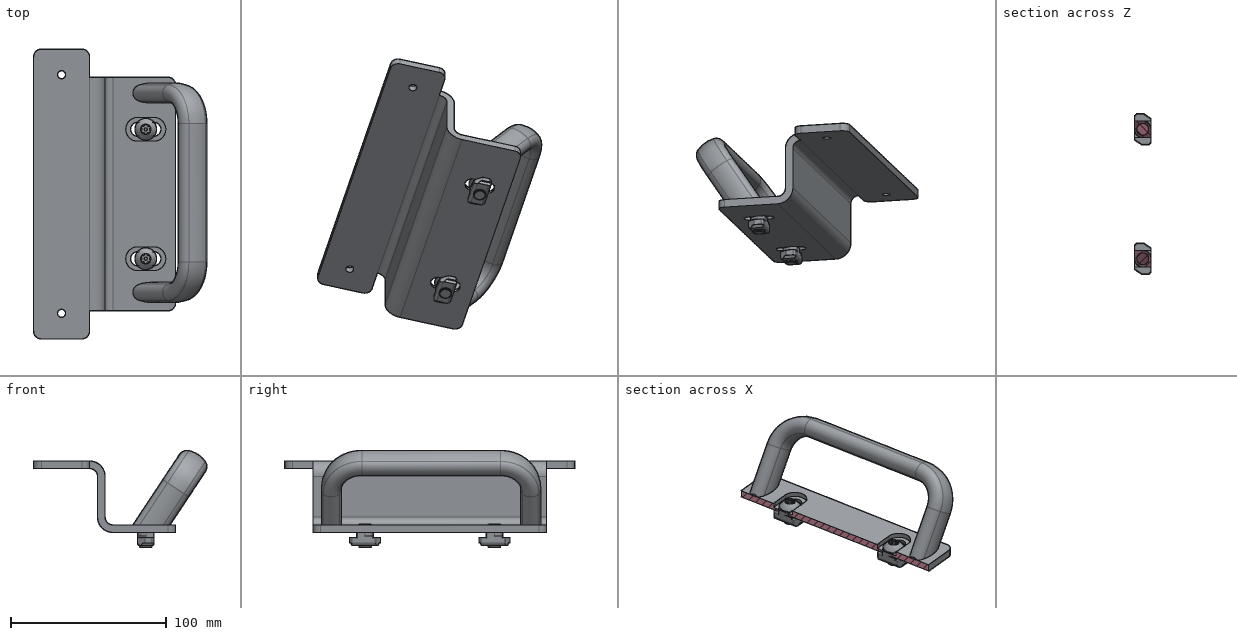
import cadquery as cq
import math

THICKNESS = 5.0
INNER_BEND = 5.0
OUTER_BEND = INNER_BEND + THICKNESS
BRACKET_HEIGHT = 46.0
TOP_FLANGE_DEPTH = 36.0
TOP_FLANGE_WIDTH = 186.0
WEB_WIDTH = 150.0
BRACKET_DEPTH = 91.15
CORNER_RADIUS = 5.0
WEB_BACK = TOP_FLANGE_DEPTH + INNER_BEND
WEB_FRONT = WEB_BACK + THICKNESS
BOTTOM_FLANGE_START = WEB_BACK + OUTER_BEND

MOUNT_HOLE_DIAMETER = 5.0
MOUNT_HOLE_X = TOP_FLANGE_DEPTH / 2
MOUNT_HOLE_SPACING = 153.0

SLOT_X = 72.0
SLOT_SPACING = 83.0
SLOT_TRAVEL = 10.5
SLOT_WIDTH = 8.8
COUNTERBORE_WIDTH = 15.2
COUNTERBORE_DEPTH = 3.0
SEAT_Z = THICKNESS - COUNTERBORE_DEPTH

HANDLE_TILT = 56.5
HANDLE_FOOT_X = 75.7
HANDLE_LENGTH = 47.63
HANDLE_SPAN = 127.8
HANDLE_CENTER_Y = 0.85
HANDLE_BEND = 19.5
ROD_WIDTH = 20.0
ROD_THICKNESS = 13.0
ROD_EDGE_RADIUS = 5.7

SCREW_DIAMETER = 8.0
SCREW_END_Z = -9.7
SCREW_END_CHAMFER = 0.5
HEAD_DIAMETER = 14.0
HEAD_HEIGHT = 3.6
HEAD_TOP_DIAMETER = 6.7
HEAD_BULGE = 0.4
SOCKET_CORE_DIAMETER = 4.92
SOCKET_TIP_DIAMETER = 6.4
SOCKET_LOBE_DIAMETER = 1.7
SOCKET_LOBES = 6
SOCKET_LOBE_START = 30.0
SOCKET_DEPTH = 2.4
SOCKET_PIN_DIAMETER = 2.0

NUT_WIDTH = 10.8
NUT_LENGTH = 20.0
NECK_FULL_Z = -2.2
LUG_TOP_Z = -3.0
SCREW_PROTRUSION = 1.3
NUT_BOTTOM_Z = SCREW_END_Z + SCREW_PROTRUSION
LUG_CUT_X = 4.7
LUG_CUT_Y = 3.2
LUG_SMALL_CUT = 1.4
LUG_BOTTOM_RADIUS = 1.8
END_STEP = 0.8
END_STEP_HEIGHT = 1.8
END_SLOPE = 0.9
EDGE_RADIUS = 0.5

EXTRA = 1.0


def make_bracket():
    top_inside = BRACKET_HEIGHT - THICKNESS
    upper_bend_z = BRACKET_HEIGHT - OUTER_BEND
    diagonal = math.sqrt(0.5)
    inner_mid = INNER_BEND * diagonal
    outer_mid = OUTER_BEND * diagonal
    bent_sheet = (
        cq.Workplane("XZ")
        .moveTo(TOP_FLANGE_DEPTH, BRACKET_HEIGHT)
        .threePointArc(
            (TOP_FLANGE_DEPTH + outer_mid, upper_bend_z + outer_mid),
            (WEB_FRONT, upper_bend_z),
        )
        .lineTo(WEB_FRONT, OUTER_BEND)
        .threePointArc(
            (BOTTOM_FLANGE_START - inner_mid, OUTER_BEND - inner_mid),
            (BOTTOM_FLANGE_START, THICKNESS),
        )
        .lineTo(BRACKET_DEPTH, THICKNESS)
        .lineTo(BRACKET_DEPTH, 0)
        .lineTo(BOTTOM_FLANGE_START, 0)
        .threePointArc(
            (BOTTOM_FLANGE_START - outer_mid, OUTER_BEND - outer_mid),
            (WEB_BACK, OUTER_BEND),
        )
        .lineTo(WEB_BACK, upper_bend_z)
        .threePointArc(
            (TOP_FLANGE_DEPTH + inner_mid, upper_bend_z + inner_mid),
            (TOP_FLANGE_DEPTH, top_inside),
        )
        .close()
        .extrude(WEB_WIDTH / 2, both=True)
        .edges("|Z and >X")
        .fillet(CORNER_RADIUS)
    )
    top_flange = (
        cq.Workplane("XY", origin=(TOP_FLANGE_DEPTH / 2, 0, top_inside))
        .rect(TOP_FLANGE_DEPTH, TOP_FLANGE_WIDTH)
        .extrude(THICKNESS)
        .edges("|Z")
        .fillet(CORNER_RADIUS)
    )
    mount_holes = (
        cq.Workplane("XY", origin=(MOUNT_HOLE_X, 0, top_inside - EXTRA))
        .rarray(1, MOUNT_HOLE_SPACING, 1, 2)
        .circle(MOUNT_HOLE_DIAMETER / 2)
        .extrude(THICKNESS + 2 * EXTRA)
    )
    bracket = top_flange.union(bent_sheet).cut(mount_holes)
    for start_z, width in ((-EXTRA, SLOT_WIDTH), (SEAT_Z, COUNTERBORE_WIDTH)):
        slots = (
            cq.Workplane("XY", origin=(SLOT_X, 0, start_z))
            .rarray(1, SLOT_SPACING, 1, 2)
            .slot2D(SLOT_TRAVEL + width, width)
            .extrude(THICKNESS + 2 * EXTRA)
        )
        bracket = bracket.cut(slots)
    return bracket


def rod_section(plane):
    """Four-arc oval: tight arcs at both edges, tangent to flatter arcs on both faces."""
    half_width = ROD_WIDTH / 2
    half_thickness = ROD_THICKNESS / 2
    edge_center = half_width - ROD_EDGE_RADIUS
    face_radius = (edge_center**2 + half_thickness**2 - ROD_EDGE_RADIUS**2) / (
        2 * (half_thickness - ROD_EDGE_RADIUS)
    )
    face_center = face_radius - half_thickness
    stretch = face_radius / (face_radius - ROD_EDGE_RADIUS)
    join_x = edge_center * stretch
    join_y = face_center * stretch - face_center
    return (
        cq.Workplane(plane)
        .moveTo(-join_x, join_y)
        .threePointArc((0, half_thickness), (join_x, join_y))
        .threePointArc((half_width, 0), (join_x, -join_y))
        .threePointArc((0, -half_thickness), (-join_x, -join_y))
        .threePointArc((-half_width, 0), (-join_x, join_y))
        .close()
    )


def make_handle():
    tilt = math.radians(HANDLE_TILT)
    along_leg = cq.Vector(math.cos(tilt), 0, math.sin(tilt))
    across_leg = cq.Vector(math.sin(tilt), 0, -math.cos(tilt))
    foot = cq.Vector(HANDLE_FOOT_X, HANDLE_CENTER_Y, THICKNESS)

    handle_plane = cq.Plane(origin=foot, xDir=along_leg, normal=across_leg * -1)
    leg_start = -ROD_WIDTH
    half_span = HANDLE_SPAN / 2
    bend_start = HANDLE_LENGTH - HANDLE_BEND
    bend_end = half_span - HANDLE_BEND
    bend_mid = HANDLE_BEND * math.sqrt(0.5)
    path = (
        cq.Workplane(handle_plane)
        .moveTo(leg_start, -half_span)
        .lineTo(bend_start, -half_span)
        .threePointArc((bend_start + bend_mid, -bend_end - bend_mid), (HANDLE_LENGTH, -bend_end))
        .lineTo(HANDLE_LENGTH, bend_end)
        .threePointArc((bend_start + bend_mid, bend_end + bend_mid), (bend_start, half_span))
        .lineTo(leg_start, half_span)
    )
    section_origin = foot + along_leg * leg_start - cq.Vector(0, half_span, 0)
    section_plane = cq.Plane(origin=section_origin, xDir=across_leg, normal=along_leg)
    rod = rod_section(section_plane).sweep(path)
    below_flange = (
        cq.Workplane("XY", origin=foot)
        .rect(4 * ROD_WIDTH, HANDLE_SPAN + 2 * ROD_WIDTH)
        .extrude(-2 * ROD_WIDTH)
    )
    return rod.cut(below_flange)


def screw_shank(y, end_z):
    return (
        cq.Workplane("XY", origin=(SLOT_X, y, end_z))
        .circle(SCREW_DIAMETER / 2)
        .extrude(SEAT_Z - end_z)
    )


def make_screw(y):
    head_radius = HEAD_DIAMETER / 2
    top_radius = HEAD_TOP_DIAMETER / 2
    flank_run = head_radius - top_radius
    flank_length = math.hypot(flank_run, HEAD_HEIGHT)
    dome_mid_r = (head_radius + top_radius) / 2 + HEAD_BULGE * HEAD_HEIGHT / flank_length
    dome_mid_z = HEAD_HEIGHT / 2 + HEAD_BULGE * flank_run / flank_length
    head = (
        cq.Workplane("XZ", origin=(SLOT_X, y, SEAT_Z))
        .lineTo(head_radius, 0)
        .threePointArc((dome_mid_r, dome_mid_z), (top_radius, HEAD_HEIGHT))
        .lineTo(0, HEAD_HEIGHT)
        .close()
        .revolve(360, (0, 0), (0, 1))
    )
    shank = screw_shank(y, SCREW_END_Z).faces("<Z").chamfer(SCREW_END_CHAMFER)

    socket_base = cq.Workplane("XY", origin=(SLOT_X, y, SEAT_Z + HEAD_HEIGHT - SOCKET_DEPTH))
    lobe_circle = (SOCKET_TIP_DIAMETER - SOCKET_LOBE_DIAMETER) / 2
    lobes = (
        socket_base.polarArray(lobe_circle, SOCKET_LOBE_START, 360, SOCKET_LOBES)
        .circle(SOCKET_LOBE_DIAMETER / 2)
        .extrude(SOCKET_DEPTH)
    )
    pin = socket_base.circle(SOCKET_PIN_DIAMETER / 2).extrude(SOCKET_DEPTH)
    socket = socket_base.circle(SOCKET_CORE_DIAMETER / 2).extrude(SOCKET_DEPTH).union(lobes).cut(pin)
    return head.union(shank).cut(socket)


def make_lug(y):
    """Long bar with a big cut on two opposite corners and a small cut on the other two."""
    half_width = NUT_WIDTH / 2
    half_length = NUT_LENGTH / 2
    outline = [
        (-half_width, -half_length + LUG_CUT_Y),
        (-half_width + LUG_CUT_X, -half_length),
        (half_width - LUG_SMALL_CUT, -half_length),
        (half_width, -half_length + LUG_SMALL_CUT),
    ]
    outline += [(-px, -py) for px, py in outline]
    bar = (
        cq.Workplane("XY", origin=(SLOT_X, y, NUT_BOTTOM_Z))
        .polyline(outline)
        .close()
        .extrude(LUG_TOP_Z - NUT_BOTTOM_Z)
        .edges("|Z")
        .fillet(EDGE_RADIUS)
        .faces(">Z")
        .edges()
        .fillet(EDGE_RADIUS)
    )

    lug_height = LUG_TOP_Z - NUT_BOTTOM_Z
    rounded_limit = (
        cq.Workplane("XY", origin=(SLOT_X, y, NUT_BOTTOM_Z))
        .rect(NUT_WIDTH, NUT_LENGTH)
        .extrude(lug_height)
        .edges("|Y and <Z")
        .fillet(LUG_BOTTOM_RADIUS)
    )
    step_y = half_length - END_STEP
    tip_y = step_y - END_SLOPE
    end_limit = (
        cq.Workplane("YZ", origin=(SLOT_X, y, NUT_BOTTOM_Z))
        .moveTo(-tip_y, 0)
        .lineTo(tip_y, 0)
        .lineTo(step_y, END_STEP_HEIGHT)
        .lineTo(half_length, END_STEP_HEIGHT)
        .lineTo(half_length, lug_height)
        .lineTo(-half_length, lug_height)
        .lineTo(-half_length, END_STEP_HEIGHT)
        .lineTo(-step_y, END_STEP_HEIGHT)
        .close()
        .extrude(half_width, both=True)
    )
    return bar.intersect(rounded_limit).intersect(end_limit)


def make_nut(y):
    base_bottom = LUG_TOP_Z - EDGE_RADIUS
    neck_base = (
        cq.Workplane("XY", origin=(SLOT_X, y, base_bottom))
        .rect(NUT_WIDTH, NUT_WIDTH)
        .extrude(NECK_FULL_Z - base_bottom)
        .edges("|Z")
        .fillet(EDGE_RADIUS)
    )
    neck = (
        cq.Workplane("XY", origin=(SLOT_X, y, NECK_FULL_Z))
        .rect(NUT_WIDTH, NUT_WIDTH)
        .extrude(-NECK_FULL_Z)
        .edges("<(1,1,0) or >(1,1,0)")
        .fillet(NUT_WIDTH / 2)
        .edges("<(1,-1,0) or >(1,-1,0)")
        .fillet(EDGE_RADIUS)
    )
    bore = screw_shank(y, NUT_BOTTOM_Z - EXTRA)
    return make_lug(y).union(neck_base).union(neck).cut(bore)


bracket = make_bracket()
handle = make_handle()
fastener_places = [side * SLOT_SPACING / 2 for side in (-1, 1)]
screws = [make_screw(y).val() for y in fastener_places]
nuts = [make_nut(y).val() for y in fastener_places]

result = cq.Compound.makeCompound([bracket.val(), handle.val(), *screws, *nuts])